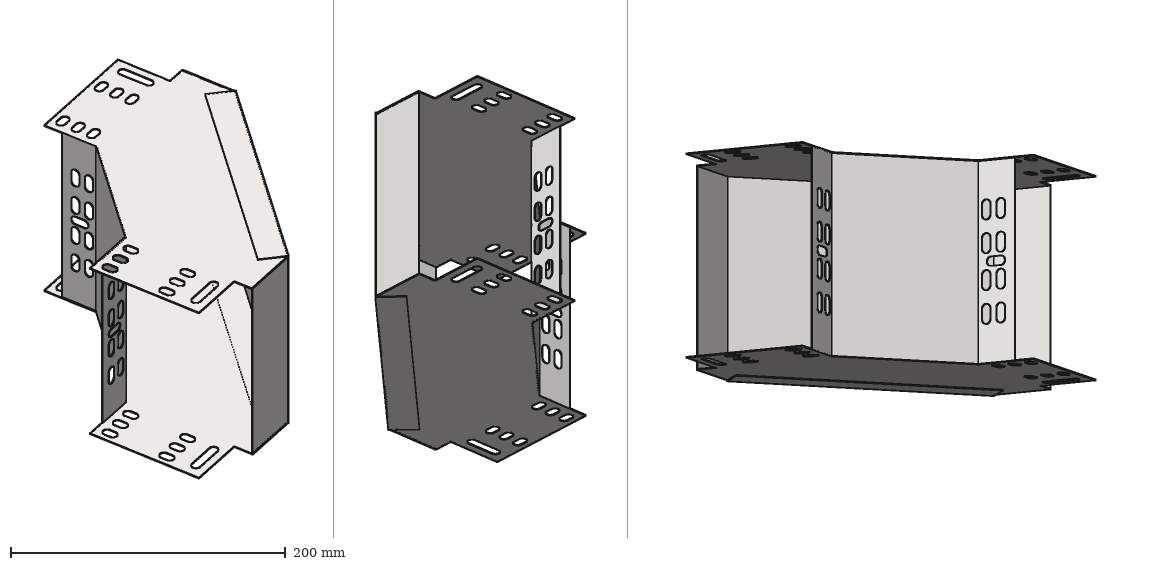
import cadquery as cq
import math


SHEET = 0.8
INNER_HEIGHT = 150.0
OVERALL = 236.27
ARM_INNER = 124.2
ARM_OUTER = 220.0
BEND_START = 45.5
STEP_START = 45.8
OUTER_BEND = 92.7
FLAP_WIDTH = 22.9
WALL_START = 15.2

SLOT_WIDTH = 7.0
CROSS_SLOT_LENGTH = 12.0
CROSS_SLOT_U = (8.3, 21.8, 35.3)
CROSS_SLOT_V = (12.0, 62.0)
LONG_SLOT_LENGTH = 30.0
LONG_SLOT_U = 22.8
LONG_SLOT_V = 85.5

WALL_SLOT_LENGTH = 15.0
WALL_SLOT_U = (27.1, 39.1)
WALL_SLOT_Z = (-38.7, -13.7, 13.7, 38.7)
CENTRE_SLOT_U = WALL_SLOT_U[0] + (WALL_SLOT_LENGTH - SLOT_WIDTH) / 2

TRAY_HEIGHT = INNER_HEIGHT + 2 * SHEET
COVER_HEIGHT = TRAY_HEIGHT + 2 * SHEET
BEND_SHIFT = SHEET * math.tan(math.radians(22.5))
WALL_INSIDE = OVERALL - SHEET
BEND_INSIDE = OUTER_BEND - BEND_SHIFT
FLAP_OFFSET = FLAP_WIDTH / math.sqrt(2)


def mirrored(points):
    """Swap X and Y of each point and reverse the order, closing a symmetric outline."""
    return [(y, x) for x, y in reversed(points)]


def prism(half_outline, height):
    """Solid centred on Z = 0 whose outline is symmetric about X = Y."""
    outline = half_outline + mirrored(half_outline)
    return cq.Workplane("XY").polyline(outline).close().extrude(height / 2, both=True)


def strip(outside, inside_bend):
    """Upright strip with two 45 degree bends, symmetric about X = Y, as high as the tray."""
    outline = outside + mirrored(outside) + mirrored(inside_bend) + inside_bend
    return cq.Workplane("XY").polyline(outline).close().extrude(TRAY_HEIGHT / 2, both=True)


def both_arms(cutter):
    """The cutter of the X arm together with its mirror image on the Y arm."""
    other = cutter.rotate((0, 0, 0), (1, 1, 0), 180)
    return cutter.union(other)


def plates():
    """Matching top and bottom plates."""
    half_outline = [
        (BEND_START, ARM_INNER),
        (0, ARM_INNER),
        (0, ARM_OUTER),
        (STEP_START, ARM_OUTER),
        (STEP_START, WALL_INSIDE),
        (BEND_INSIDE, WALL_INSIDE),
    ]
    return prism(half_outline, TRAY_HEIGHT).cut(prism(half_outline, INNER_HEIGHT))


def inner_wall():
    """Bent strip between the plates that closes the inside of the elbow."""
    outside = [
        (WALL_START, ARM_INNER + SHEET),
        (WALL_START, ARM_INNER),
        (BEND_START, ARM_INNER),
    ]
    inside_bend = [(BEND_START + BEND_SHIFT, ARM_INNER + SHEET)]
    return strip(outside, inside_bend)


def plate_slots():
    """Cutters through both plates on both arms."""
    cross_points = [(u, ARM_INNER + v) for u in CROSS_SLOT_U for v in CROSS_SLOT_V]
    cross = (
        cq.Workplane("XY")
        .pushPoints(cross_points)
        .slot2D(CROSS_SLOT_LENGTH, SLOT_WIDTH, 90)
        .extrude(TRAY_HEIGHT / 2, both=True)
    )
    lengthwise = (
        cq.Workplane("XY")
        .center(LONG_SLOT_U, ARM_INNER + LONG_SLOT_V)
        .slot2D(LONG_SLOT_LENGTH, SLOT_WIDTH)
        .extrude(TRAY_HEIGHT / 2, both=True)
    )
    return both_arms(cross.union(lengthwise))


def wall_slots():
    """Cutters through the inner wall on both arms."""
    face = cq.Workplane("XZ", origin=(0, ARM_INNER, 0))
    points = [(u, z) for u in WALL_SLOT_U for z in WALL_SLOT_Z]
    upright = face.pushPoints(points).slot2D(WALL_SLOT_LENGTH, SLOT_WIDTH, 90).extrude(-SHEET)
    level = face.center(CENTRE_SLOT_U, 0).slot2D(WALL_SLOT_LENGTH, SLOT_WIDTH).extrude(-SHEET)
    return both_arms(upright.union(level))


def make_tray():
    """Top and bottom plates joined by the slotted inner wall."""
    return plates().union(inner_wall()).cut(plate_slots()).cut(wall_slots())


def outer_wall():
    """Bent strip that closes the outside of the elbow."""
    outside = [
        (STEP_START, WALL_INSIDE),
        (STEP_START, OVERALL),
        (OUTER_BEND, OVERALL),
    ]
    inside_bend = [(BEND_INSIDE, WALL_INSIDE)]
    return strip(outside, inside_bend)


def flaps():
    """Flaps folded from the diagonal over the top and under the bottom plate."""
    half_outline = [
        (OUTER_BEND - FLAP_OFFSET, OVERALL - FLAP_OFFSET),
        (OUTER_BEND, OVERALL),
    ]
    return prism(half_outline, COVER_HEIGHT).cut(prism(half_outline, TRAY_HEIGHT))


def make_outer_cover():
    """Outer wall with its two flaps."""
    return outer_wall().union(flaps())


tray = make_tray()
outer_cover = make_outer_cover()

result = cq.Compound.makeCompound([tray.val(), outer_cover.val()])